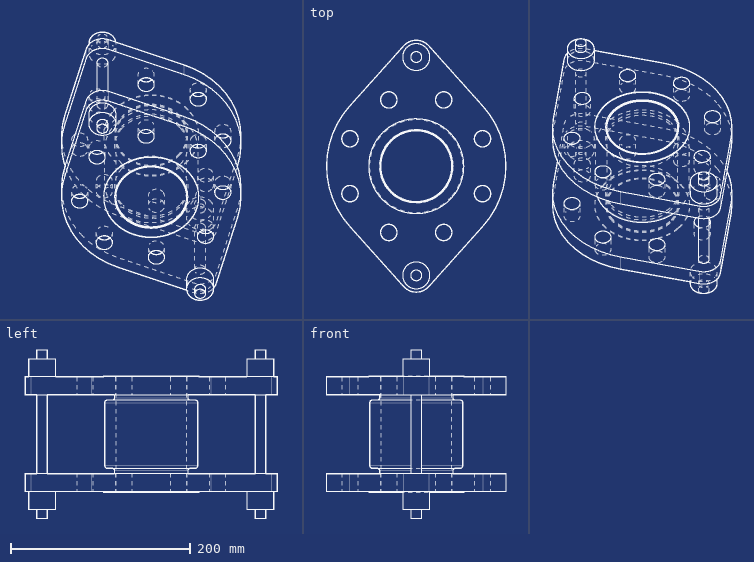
import cadquery as cq
import math

plate_radius = 100.0
tip_radius = 18.8
plate_length = 281
rod_offset = plate_length / 2 - tip_radius
plate_thickness = 20.2
plate_outer_z = 64.0
plate_inner_z = plate_outer_z - plate_thickness

bolt_count = 8
bolt_circle_diameter = 160.0
bolt_hole_diameter = 18.0

face_height = 1.0
face_diameter = 106.0
face_z = plate_outer_z + face_height
neck_diameter = 82.0
neck_fillet = 2.0
body_diameter = 104.0
body_half_length = 38.2
body_fillet = 3.5
bore_diameter = 79.0
mouth_diameter = 81.5
mouth_depth = face_height

rod_diameter = 12.0
rod_length = 188.0
nut_diameter = 30.0
nut_height = 20.0


def cylinder(diameter, bottom, top):
    """Vertical cylinder on the Z axis between two heights."""
    return cq.Workplane("XY").workplane(offset=bottom).circle(diameter / 2).extrude(top - bottom)


def flange_plate():
    """Upper plate: a large disc drawn out by tangent lines to two small rounded tips."""
    tangent_cos = (plate_radius - tip_radius) / rod_offset
    tangent_sin = math.sqrt(1 - tangent_cos**2)
    side_x = plate_radius * tangent_sin
    side_y = plate_radius * tangent_cos
    tip_x = tip_radius * tangent_sin
    tip_y = rod_offset + tip_radius * tangent_cos
    end_y = plate_length / 2

    plate = (
        cq.Workplane("XY")
        .workplane(offset=plate_inner_z)
        .moveTo(side_x, -side_y)
        .threePointArc((plate_radius, 0), (side_x, side_y))
        .lineTo(tip_x, tip_y)
        .threePointArc((0, end_y), (-tip_x, tip_y))
        .lineTo(-side_x, side_y)
        .threePointArc((-plate_radius, 0), (-side_x, -side_y))
        .lineTo(-tip_x, -tip_y)
        .threePointArc((0, -end_y), (tip_x, -tip_y))
        .close()
        .extrude(plate_thickness)
    )
    first_angle = 180 / bolt_count
    bolt_holes = (
        cq.Workplane("XY")
        .workplane(offset=plate_inner_z)
        .polarArray(bolt_circle_diameter / 2, first_angle, 360, bolt_count)
        .circle(bolt_hole_diameter / 2)
        .extrude(plate_thickness)
    )
    return plate.cut(bolt_holes)


def bellows():
    """Rounded cylindrical body with a flared neck and a raised sealing face at each end."""
    body = cylinder(body_diameter, -body_half_length, body_half_length).edges().fillet(body_fillet)
    neck_radius = neck_diameter / 2
    root_radius = neck_radius + neck_fillet
    face_radius = face_diameter / 2
    upper_neck = (
        cq.Workplane("XZ")
        .moveTo(0, body_half_length)
        .lineTo(0, face_z)
        .lineTo(face_radius, face_z)
        .lineTo(face_radius, plate_outer_z)
        .lineTo(neck_radius, plate_outer_z)
        .lineTo(neck_radius, body_half_length + neck_fillet)
        .radiusArc((root_radius, body_half_length), -neck_fillet)
        .close()
        .revolve(360, (0, 0, 0), (0, 1, 0))
    )
    return body.union(upper_neck).union(upper_neck.mirror("XY"))


def tie_rod():
    """Tie rod with a round nut against the outer face of each plate."""
    rod = cylinder(rod_diameter, -rod_length / 2, rod_length / 2)
    nut = cylinder(nut_diameter, plate_outer_z, plate_outer_z + nut_height)
    return rod.union(nut).union(nut.mirror("XY"))


def bore():
    """Through bore with a shallow, slightly wider recess at both ends."""
    passage = cylinder(bore_diameter, -face_z, face_z)
    recess = cylinder(mouth_diameter, face_z - mouth_depth, face_z)
    return passage.union(recess).union(recess.mirror("XY"))


plate = flange_plate()
result = bellows().union(plate).union(plate.mirror("XY"))
for side in (-1, 1):
    result = result.union(tie_rod().translate((0, side * rod_offset, 0)))
result = result.cut(bore())